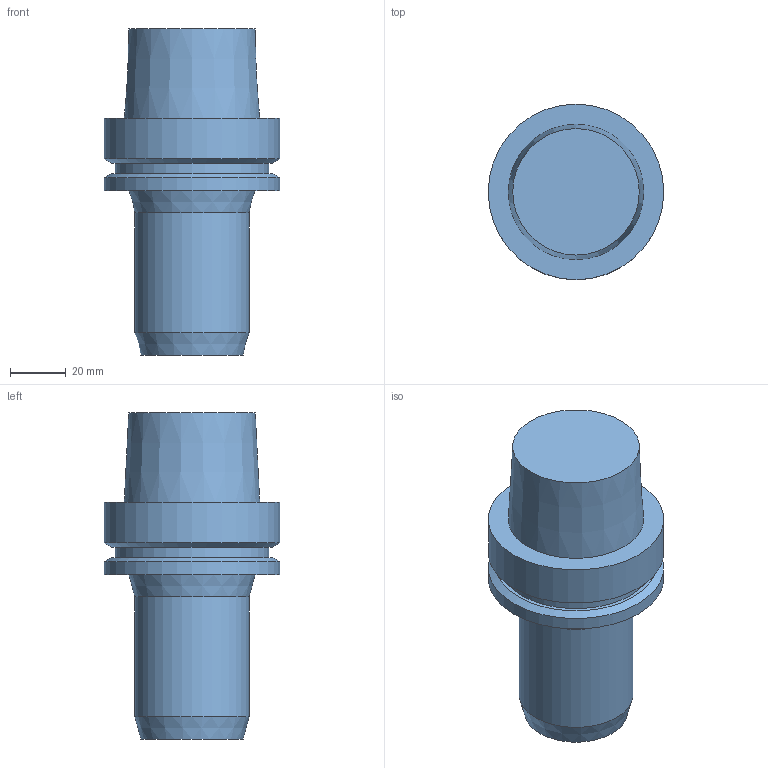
import cadquery as cq
import math

total_height = 117.0
taper_length = 32.0
flange_width = 26.0
neck_length = 8.0
nose_length = 8.0

taper_base_diameter = 48.6
taper_ratio = 0.1
flange_diameter = 63.0
groove_diameter = 55.0
shank_diameter = 41.0
cone_half_angle = 15.0

groove_center_below_face = 18.0
groove_floor_width = 3.75
groove_ledge_width = 1.4
groove_bevel_angle = 30.0

cone_tangent = math.tan(math.radians(cone_half_angle))
taper_top_diameter = taper_base_diameter - taper_ratio * taper_length
neck_top_diameter = shank_diameter + 2 * neck_length * cone_tangent
nose_tip_diameter = shank_diameter - 2 * nose_length * cone_tangent

flange_top = total_height - taper_length
flange_bottom = flange_top - flange_width
neck_bottom = flange_bottom - neck_length
groove_center = flange_top - groove_center_below_face


def cylinder(diameter, bottom, top):
    """Upright cylinder between two heights."""
    return cq.Workplane("XY").workplane(offset=bottom).circle(diameter / 2).extrude(top - bottom)


def cone(bottom_diameter, top_diameter, bottom, top):
    """Upright truncated cone between two heights."""
    profile = [
        (0, bottom),
        (bottom_diameter / 2, bottom),
        (top_diameter / 2, top),
        (0, top),
    ]
    return cq.Workplane("YZ").polyline(profile).close().revolve(360, (0, 0), (0, 1))


def gripper_groove():
    """Ring cutter: straight floor between flat ledges, opening out through bevelled walls."""
    floor_radius = groove_diameter / 2
    bevel_radius = floor_radius + groove_ledge_width
    rim_radius = flange_diameter / 2
    bevel_rise = (rim_radius - bevel_radius) * math.tan(math.radians(groove_bevel_angle))
    half_floor = groove_floor_width / 2
    half_mouth = half_floor + bevel_rise
    profile = [
        (floor_radius, groove_center - half_floor),
        (bevel_radius, groove_center - half_floor),
        (rim_radius, groove_center - half_mouth),
        (rim_radius, groove_center + half_mouth),
        (bevel_radius, groove_center + half_floor),
        (floor_radius, groove_center + half_floor),
    ]
    return cq.Workplane("YZ").polyline(profile).close().revolve(360, (0, 0), (0, 1))


nose = cone(nose_tip_diameter, shank_diameter, 0, nose_length)
shank = cylinder(shank_diameter, nose_length, neck_bottom)
neck = cone(shank_diameter, neck_top_diameter, neck_bottom, flange_bottom)
flange = cylinder(flange_diameter, flange_bottom, flange_top).cut(gripper_groove())
taper = cone(taper_base_diameter, taper_top_diameter, flange_top, total_height)

result = nose.union(shank).union(neck).union(flange).union(taper)